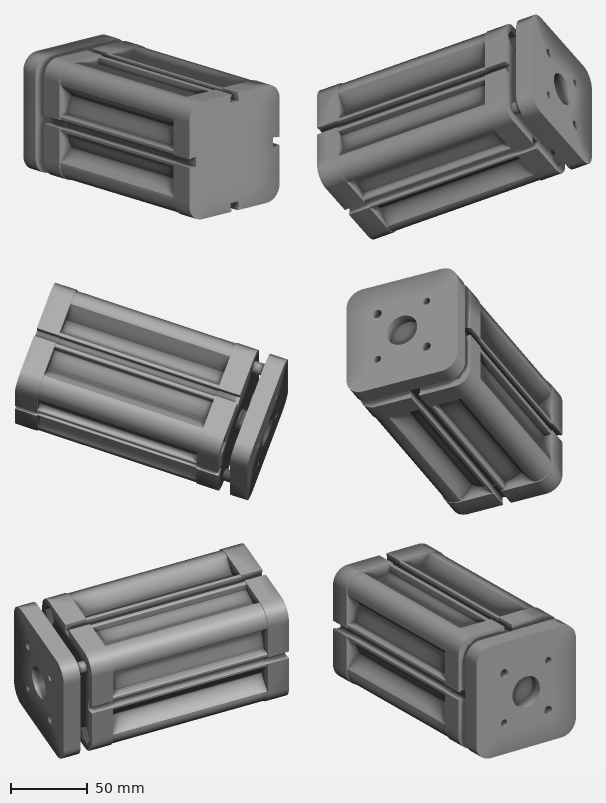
import cadquery as cq
import math


TOTAL_LENGTH = 160.0
PLATE_THICKNESS = 12.0
PLATE_GAP = 8.0
CAP_LENGTH = 15.0

PLATE_BACK_X = PLATE_THICKNESS
HOUSING_X = PLATE_BACK_X + PLATE_GAP
BARREL_X = HOUSING_X + CAP_LENGTH
REAR_CAP_X = TOTAL_LENGTH - CAP_LENGTH
BARREL_LENGTH = REAR_CAP_X - BARREL_X

SECTION_SIZE = 79.5
CORNER_RADIUS = 11.4
CORNER_CENTRE = SECTION_SIZE / 2 - CORNER_RADIUS

RECESS_DIAMETER = 22.0
RECESS_DEPTH = 8.0
HOLE_PITCH = 35.2
DOWEL_DIAMETER = 6.0
THREAD_DIAMETER = 5.0

BARREL_INSET = 0.6
BARREL_HALF = SECTION_SIZE / 2 - BARREL_INSET
TUBE_RADIUS = 34.0
LOBE_RADIUS = BARREL_HALF - CORNER_CENTRE
LOBE_EDGE = 26.2
VALLEY_OUTER = 18.0
VALLEY_INNER = 16.8
VALLEY_ROUND = 1.0
RIB_HALF_WIDTH = 5.5
RIB_OUTER_ROUND = 1.0
RIB_INNER_ROUND = 0.5
RIB_FOOT = 6.0

SLOT_WIDTH = 5.6
SLOT_INNER_WIDTH = 6.7
SLOT_THROAT = 2.0
SLOT_DEPTH = 6.0

SEAT_DIAMETER = 16.0
SEAT_DEPTH = 0.3
SOCKET_WIDTH = 12.0
SOCKET_DEPTH = 7.5

GUIDE_DIAMETER = 8.0
PISTON_DIAMETER = 16.0
ROD_HOLE_DEPTH = CAP_LENGTH
PISTON_END_CHAMFER = 0.5
FLAT_WIDTH = 13.0
FLAT_LENGTH = 6.0
FLAT_RUNOUT = 0.3

GUIDE_POINTS = [(-CORNER_CENTRE, CORNER_CENTRE), (CORNER_CENTRE, -CORNER_CENTRE)]
SCREW_POINTS = [(CORNER_CENTRE, CORNER_CENTRE), (-CORNER_CENTRE, -CORNER_CENTRE)]


def section_plane(x):
    """YZ plane at a given X: local x is +Y, local y is +Z, extrusion runs along +X."""
    return cq.Workplane("YZ", origin=(x, 0, 0))


def rounded_block(x, length):
    block = section_plane(x).rect(SECTION_SIZE, SECTION_SIZE).extrude(length)
    return block.edges("|X").fillet(CORNER_RADIUS)


def make_plate():
    plate = rounded_block(0, PLATE_THICKNESS)
    recess = section_plane(0).circle(RECESS_DIAMETER / 2).extrude(RECESS_DEPTH)
    half = HOLE_PITCH / 2
    dowels = section_plane(0).pushPoints([(half, half), (-half, -half)])
    threads = section_plane(0).pushPoints([(half, -half), (-half, half)])
    plate = plate.cut(recess)
    plate = plate.cut(dowels.circle(DOWEL_DIAMETER / 2).extrude(PLATE_THICKNESS))
    return plate.cut(threads.circle(THREAD_DIAMETER / 2).extrude(PLATE_THICKNESS))


def half_side_profile():
    """Corner points of the +Y half of the barrel's top side, from the slot out to the lobe.

    Each entry is (y, z, radius of the arc that leads to the next point); 0 means a straight line,
    a positive radius bulges outward and a negative one is hollow.
    """
    slot_floor = BARREL_HALF - SLOT_DEPTH
    throat_bottom = BARREL_HALF - SLOT_THROAT
    foot_z = math.sqrt(TUBE_RADIUS**2 - RIB_FOOT**2)
    valley_z = math.sqrt(TUBE_RADIUS**2 - VALLEY_INNER**2)
    lobe_z = CORNER_CENTRE + math.sqrt(LOBE_RADIUS**2 - (CORNER_CENTRE - LOBE_EDGE) ** 2)
    foot_round = RIB_FOOT - RIB_HALF_WIDTH
    return [
        (SLOT_INNER_WIDTH / 2, slot_floor, 0),
        (SLOT_INNER_WIDTH / 2, throat_bottom, 0),
        (SLOT_WIDTH / 2, throat_bottom, 0),
        (SLOT_WIDTH / 2, BARREL_HALF - RIB_INNER_ROUND, RIB_INNER_ROUND),
        (SLOT_WIDTH / 2 + RIB_INNER_ROUND, BARREL_HALF, 0),
        (RIB_HALF_WIDTH - RIB_OUTER_ROUND, BARREL_HALF, RIB_OUTER_ROUND),
        (RIB_HALF_WIDTH, BARREL_HALF - RIB_OUTER_ROUND, 0),
        (RIB_HALF_WIDTH, foot_z + foot_round, -foot_round),
        (RIB_FOOT, foot_z, TUBE_RADIUS),
        (VALLEY_INNER, valley_z, -VALLEY_ROUND),
        (VALLEY_OUTER, valley_z, 0),
        (LOBE_EDGE, lobe_z, LOBE_RADIUS),
    ]


def side_profile():
    """The whole top side, from the lobe at -Y across the slot to the lobe at +Y."""
    right = half_side_profile()
    left_radii = [radius for y, z, radius in right[:-1]]
    left_points = [(-y, z) for y, z, radius in right]
    left = [(y, z, radius) for (y, z), radius in zip(left_points, [0] + left_radii)]
    return left[::-1] + right


def make_barrel():
    """Extrude the outline: the top side repeated clockwise, with lobe arcs between the sides."""
    outline = []
    side = side_profile()
    for turn in range(4):
        outline += side
        side = [(z, -y, radius) for y, z, radius in side]
    first_y, first_z, first_radius = outline[0]
    path = section_plane(BARREL_X).moveTo(first_y, first_z)
    ends = outline[1:] + outline[:1]
    for (y, z, radius), (end_y, end_z, end_radius) in zip(outline, ends):
        if radius:
            path = path.radiusArc((end_y, end_z), radius)
        else:
            path = path.lineTo(end_y, end_z)
    return path.close().extrude(BARREL_LENGTH)


def make_cap(x):
    """Rounded block with an undercut slot along X in the middle of each long side."""
    cap = rounded_block(x, CAP_LENGTH)
    top = SECTION_SIZE / 2
    inner_height = SLOT_DEPTH - SLOT_THROAT
    throat = section_plane(x).center(0, top - SLOT_DEPTH / 2)
    throat = throat.rect(SLOT_WIDTH, SLOT_DEPTH).extrude(CAP_LENGTH)
    inner = section_plane(x).center(0, top - SLOT_DEPTH + inner_height / 2)
    inner = inner.rect(SLOT_INNER_WIDTH, inner_height).extrude(CAP_LENGTH)
    slot = throat.union(inner)
    for turn in range(4):
        cap = cap.cut(slot.rotate((0, 0, 0), (1, 0, 0), 90 * turn))
    return cap


def screw_recess():
    """Shallow seat and hexagon socket of the two screws in the front cap."""
    seats = section_plane(HOUSING_X).pushPoints(SCREW_POINTS).circle(SEAT_DIAMETER / 2).extrude(SEAT_DEPTH)
    hexagon = cq.Sketch().regularPolygon(SOCKET_WIDTH / math.sqrt(3), 6, 30)
    sockets = section_plane(HOUSING_X).pushPoints(SCREW_POINTS).placeSketch(hexagon).extrude(SOCKET_DEPTH)
    return seats.union(sockets)


def make_housing():
    housing = make_barrel().union(make_cap(HOUSING_X)).union(make_cap(REAR_CAP_X))
    piston_hole = section_plane(HOUSING_X).circle(PISTON_DIAMETER / 2).extrude(ROD_HOLE_DEPTH)
    guide_holes = section_plane(HOUSING_X).pushPoints(GUIDE_POINTS)
    guide_holes = guide_holes.circle(GUIDE_DIAMETER / 2).extrude(ROD_HOLE_DEPTH)
    return housing.cut(piston_hole).cut(guide_holes).cut(screw_recess())


def make_piston_rod():
    length = PLATE_GAP + ROD_HOLE_DEPTH
    radius = PISTON_DIAMETER / 2
    rod = section_plane(PLATE_BACK_X).circle(radius).extrude(length)
    rod = rod.faces("<X").chamfer(PISTON_END_CHAMFER)
    flat_end = PLATE_BACK_X + FLAT_LENGTH
    flat = (
        cq.Workplane("XZ")
        .moveTo(PLATE_BACK_X, FLAT_WIDTH / 2)
        .lineTo(flat_end, FLAT_WIDTH / 2)
        .lineTo(flat_end + FLAT_RUNOUT, radius)
        .lineTo(PLATE_BACK_X, radius)
        .close()
        .extrude(radius, both=True)
    )
    return rod.cut(flat).cut(flat.mirror("XY"))


def make_guide_rod(y, z):
    length = PLATE_GAP + ROD_HOLE_DEPTH
    return section_plane(PLATE_BACK_X).center(y, z).circle(GUIDE_DIAMETER / 2).extrude(length)


plate = make_plate()
housing = make_housing()
piston_rod = make_piston_rod()
guide_rods = [make_guide_rod(y, z).val() for y, z in GUIDE_POINTS]

result = cq.Compound.makeCompound([plate.val(), housing.val(), piston_rod.val(), *guide_rods])